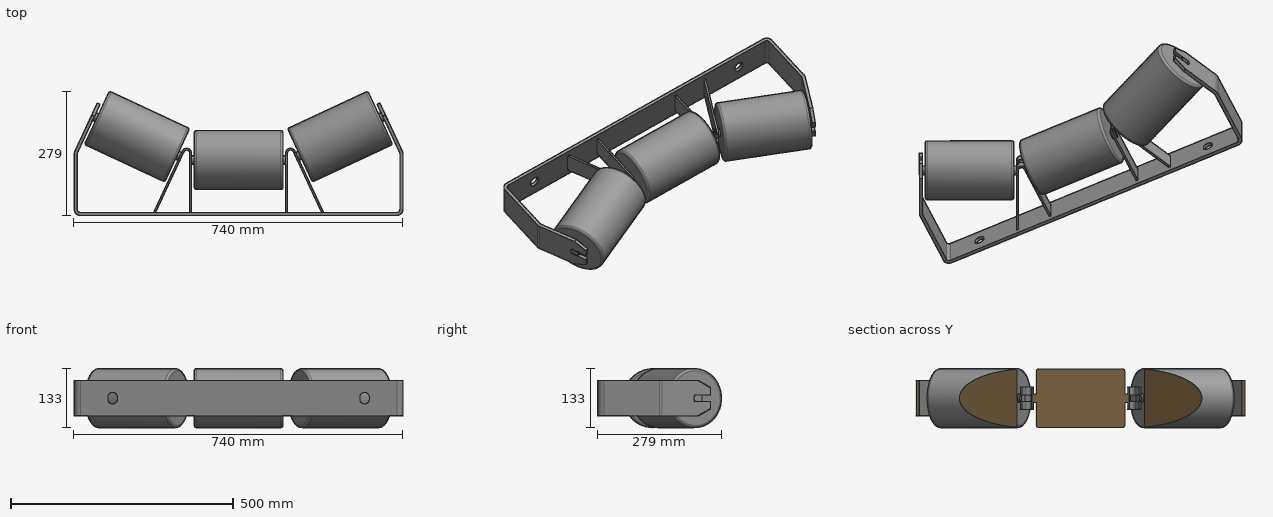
import cadquery as cq
import math


roller_diameter = 133.0
roller_length = 200.0
roller_edge_radius = 5.0
centre_roller_gap = 6.0
trough_angle = 25.0
centre_roller_y = 125.0
shaft_diameter = 20.0
shaft_flat_width = 14.0
shaft_setback = 1.0

frame_width = 740.0
frame_thickness = 7.5
strip_height = 80.0
inner_bend_radius = 7.0
upright_end_y = 139.0
arm_length = 120.0
tip_chamfer_along = 29.5
tip_chamfer_across = 15.5

mount_hole_x = 283.5
mount_hole_width = 21.5
mount_hole_height = 26.0

bracket_thickness = 4.5
bracket_height = 50.0
bracket_bend_y = 140.5
seat_drop = 13.0

tilt = math.radians(trough_angle)
across = (-math.cos(tilt), math.sin(tilt))
along = (math.sin(tilt), math.cos(tilt))
roller_half = roller_length / 2
frame_outer_radius = inner_bend_radius + frame_thickness
bracket_outer_radius = inner_bend_radius + bracket_thickness
bracket_inner_x = roller_half + centre_roller_gap
bracket_bend = (-bracket_inner_x - bracket_outer_radius, bracket_bend_y)
arm_bend = (frame_outer_radius - frame_width / 2, upright_end_y)


def shifted(point, distance, direction):
    """Point moved by a distance along a direction."""
    return (point[0] + distance * direction[0], point[1] + distance * direction[1])


def distance(start, end, direction):
    """Distance from one point to another, measured along a direction."""
    return (end[0] - start[0]) * direction[0] + (end[1] - start[1]) * direction[1]


arm_start = shifted(arm_bend, frame_outer_radius, across)
arm_tip = shifted(arm_start, arm_length, along)

leg_start = shifted(bracket_bend, bracket_outer_radius, across)
leg_to_arm = distance(leg_start, arm_start, across) - frame_thickness
side_roller_gap = (leg_to_arm - roller_length) / 2
side_roller_seat = shifted(leg_start, -seat_drop, along)
side_roller_centre = shifted(side_roller_seat, leg_to_arm / 2, across)


def x_bar(diameter, left, right):
    """Round bar on the X axis between two X positions."""
    return cq.Workplane("YZ").workplane(offset=left).circle(diameter / 2).extrude(right - left)


def flattened_bar(left, right, top):
    """Bar along X with two flats, a round underside and a flat top at the given height in Y."""
    length = right - left
    flats = (
        cq.Workplane("YZ").workplane(offset=left)
        .rect(shaft_diameter, shaft_flat_width).extrude(length)
    )
    upper_part = (
        cq.Workplane("YZ").workplane(offset=left).center(top / 2, 0)
        .rect(top, shaft_flat_width).extrude(length)
    )
    return x_bar(shaft_diameter, left, right).intersect(flats).union(upper_part)


def roller(gap, left_plate, right_plate):
    """Roller on the X axis, its flattened shaft ends seated in plates of the given thickness."""
    shell = x_bar(roller_diameter, -roller_half, roller_half).edges("%CIRCLE").fillet(roller_edge_radius)
    neck_end = roller_half + gap
    neck = x_bar(shaft_diameter, -neck_end, neck_end)
    left_end = -neck_end - left_plate + shaft_setback
    right_end = neck_end + right_plate - shaft_setback
    return shell.union(neck).union(flattened_bar(left_end, -neck_end, shaft_diameter / 2)).union(
        flattened_bar(neck_end, right_end, shaft_diameter / 2)
    )


def on_left_axis(body):
    """Move a body from the X axis to the tilted axis of the left roller."""
    turned = body.rotate((0, 0, 0), (0, 0, 1), -trough_angle)
    return turned.translate((*side_roller_centre, 0))


def mirrored(body):
    return body.mirror("YZ")


def bent_strip(path, height, thickness):
    """Flat strip swept along its middle line."""
    middle_line = path.wire().val()
    plane = cq.Plane(origin=middle_line.positionAt(0), xDir=(0, 0, 1), normal=middle_line.tangentAt(0))
    return cq.Workplane(plane).rect(height, thickness).sweep(cq.Workplane(middle_line))


def half_frame():
    """Left half of the frame strip, with its shaft slot, tip chamfers and mounting hole."""
    middle = frame_thickness / 2
    middle_radius = frame_outer_radius - middle
    start = (0, middle)
    path = (
        cq.Workplane("XY").moveTo(*start)
        .lineTo(arm_bend[0], middle)
        .tangentArcPoint((arm_bend[0] - middle_radius, frame_outer_radius), relative=False)
        .lineTo(arm_bend[0] - middle_radius, upright_end_y)
        .tangentArcPoint(shifted(arm_bend, middle_radius, across), relative=False)
        .lineTo(*shifted(arm_tip, -middle, across))
    )
    strip = bent_strip(path, strip_height, frame_thickness)
    return strip.cut(tip_corners()).cut(arm_slot()).cut(mount_hole())


def tip_plane():
    """Plane on the outer face of the left arm: x along the arm to its tip, y across the strip."""
    return cq.Plane(origin=(*arm_tip, 0), xDir=(*along, 0), normal=(*across, 0))


def tip_corners():
    """Corner material removed from both edges of the arm tip."""
    edge = strip_height / 2
    corner = (
        cq.Workplane(tip_plane())
        .polyline([(-tip_chamfer_along, edge), (0, edge), (0, edge - tip_chamfer_across)]).close()
        .extrude(-frame_thickness)
    )
    return corner.union(corner.mirror("XY"))


def arm_slot():
    """Shaft slot in the left arm, open at its tip."""
    seat_to_tip = distance(side_roller_centre, arm_tip, along)
    inner_face = -leg_to_arm / 2
    return on_left_axis(flattened_bar(inner_face - frame_thickness, inner_face, seat_to_tip))


def mount_hole():
    return (
        cq.Workplane("XZ").center(-mount_hole_x, 0)
        .slot2D(mount_hole_height, mount_hole_width, 90).extrude(-frame_thickness)
    )


def bracket():
    """Left bracket: upright leg, round top and inclined leg, both legs let into the base plate."""
    middle = bracket_thickness / 2
    middle_radius = bracket_outer_radius - middle
    foot_y = frame_thickness / 2
    start = (bracket_bend[0] + middle_radius, foot_y)
    leg_top = shifted(bracket_bend, middle_radius, across)
    leg_length = (leg_top[1] - foot_y) / along[1]
    path = (
        cq.Workplane("XY").moveTo(*start)
        .lineTo(start[0], bracket_bend_y)
        .tangentArcPoint(leg_top, relative=False)
        .lineTo(*shifted(leg_top, -leg_length, along))
    )
    strip = bent_strip(path, bracket_height, bracket_thickness)
    return strip.cut(bracket_slot())


def bracket_slot():
    """Shaft slot that runs from one bracket leg over the bend and down the other."""
    upright = flattened_bar(
        -bracket_inner_x - bracket_thickness, -bracket_inner_x, bracket_bend_y - centre_roller_y
    ).translate((0, centre_roller_y, 0))
    leg_face = leg_to_arm / 2
    inclined = on_left_axis(flattened_bar(leg_face, leg_face + bracket_thickness, seat_drop))
    bend = (
        cq.Workplane("XY").center(*bracket_bend)
        .circle(bracket_outer_radius).extrude(shaft_flat_width / 2, both=True)
    )
    return upright.union(inclined).union(bend)


def frame_with_centre_roller():
    """Frame strip, both brackets and the centre roller fixed between them, all one solid."""
    half = half_frame().union(bracket())
    centre_roller = roller(centre_roller_gap, bracket_thickness, bracket_thickness)
    centre_roller = centre_roller.translate((0, centre_roller_y, 0))
    return half.union(mirrored(half)).union(centre_roller)


frame = frame_with_centre_roller()
left_roller = on_left_axis(roller(side_roller_gap, frame_thickness, bracket_thickness))
side_rollers = [left_roller, mirrored(left_roller)]

result = cq.Compound.makeCompound([frame.val(), *[side.val() for side in side_rollers]])